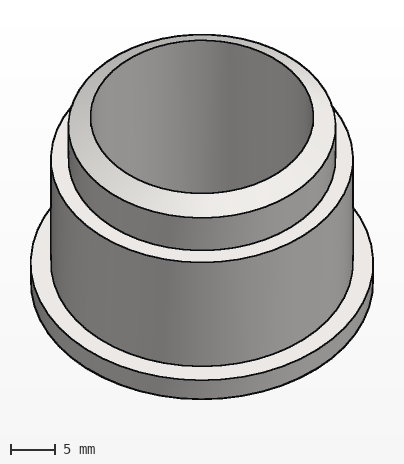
import cadquery as cq
import math

flange_diameter = 38.4
body_diameter = 33.85
neck_diameter = 29.95
bore_diameter = 25.0

total_height = 25.9
flange_height = 3.4
body_top = 19.43
flange_chamfer = 0.5
taper_angle = 30.0

flange_radius = flange_diameter / 2
body_radius = body_diameter / 2
neck_radius = neck_diameter / 2
bore_radius = bore_diameter / 2

taper_height = (neck_radius - bore_radius) * math.tan(math.radians(taper_angle))

wall_section = (
    cq.Workplane("XZ")
    .moveTo(bore_radius, 0)
    .lineTo(flange_radius - flange_chamfer, 0)
    .lineTo(flange_radius, flange_chamfer)
    .lineTo(flange_radius, flange_height)
    .lineTo(body_radius, flange_height)
    .lineTo(body_radius, body_top)
    .lineTo(neck_radius, body_top)
    .lineTo(neck_radius, total_height - taper_height)
    .lineTo(bore_radius, total_height)
    .close()
)

result = wall_section.revolve(360, (0, 0, 0), (0, 1, 0))